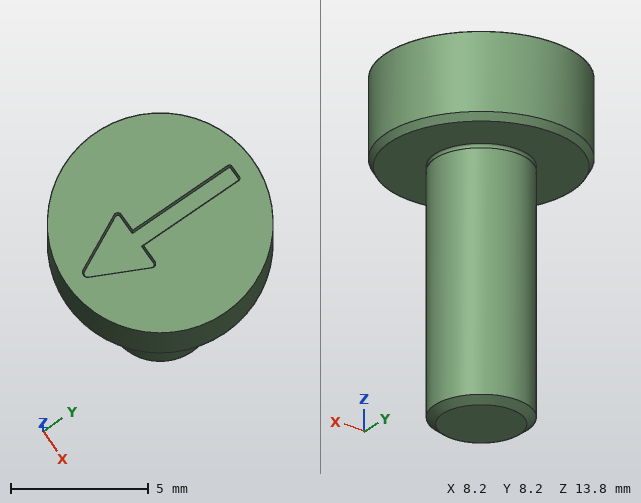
import cadquery as cq
import math

total_height = 13.8
head_diameter = 8.2
head_height = 3.5
shank_diameter = 4.0

head_chamfer_height = 0.3
head_chamfer_width = 0.18
end_chamfer_height = 0.26
end_chamfer_width = 0.35
groove_height = 0.18
groove_depth = 0.05

arrow_depth = 0.2
arrow_draft_angle = 15.0
arrow_tail_y = 3.34
arrow_shoulder_y = -0.98
arrow_shaft_width = 0.69
arrow_head_width = 2.62
arrow_side_angle = 63.8
arrow_shaft_overlap = 0.69
tail_radius = 0.11
shoulder_radius = 0.15
tip_radius = 0.2


def make_body():
    """Revolve the half section of head, undercut groove and shank."""
    head_radius = head_diameter / 2
    shank_radius = shank_diameter / 2
    underside_z = total_height - head_height
    groove_bottom = (shank_radius - groove_depth, underside_z - groove_height / 2)
    return (
        cq.Workplane("XZ")
        .lineTo(shank_radius - end_chamfer_width, 0)
        .lineTo(shank_radius, end_chamfer_height)
        .lineTo(shank_radius, underside_z - groove_height)
        .threePointArc(groove_bottom, (shank_radius, underside_z))
        .lineTo(head_radius - head_chamfer_width, underside_z)
        .lineTo(head_radius, underside_z + head_chamfer_height)
        .lineTo(head_radius, total_height)
        .lineTo(0, total_height)
        .close()
        .revolve(360, (0, 0, 0), (0, 1, 0))
    )


def sink(outline):
    """Extend an outline on the top face downwards, narrowing with depth."""
    top_face = cq.Workplane("XY").workplane(offset=total_height)
    return top_face.placeSketch(outline).extrude(-arrow_depth, taper=arrow_draft_angle)


def make_arrow_shaft():
    """Straight bar with rounded tail corners that runs on into the arrow head."""
    half_width = arrow_shaft_width / 2
    inner_end_y = arrow_shoulder_y - arrow_shaft_overlap
    corners = [
        (-half_width, inner_end_y),
        (half_width, inner_end_y),
        (half_width, arrow_tail_y),
        (-half_width, arrow_tail_y),
    ]
    outline = cq.Sketch().polygon(corners + corners[:1]).vertices(">Y").fillet(tail_radius)
    return sink(outline.reset())


def make_arrow_head():
    """Triangle with rounded shoulders and a rounded tip."""
    half_width = arrow_head_width / 2
    tip_y = arrow_shoulder_y - half_width * math.tan(math.radians(arrow_side_angle))
    corners = [
        (0, tip_y),
        (half_width, arrow_shoulder_y),
        (-half_width, arrow_shoulder_y),
    ]
    outline = cq.Sketch().polygon(corners + corners[:1])
    outline = outline.vertices(">Y").fillet(shoulder_radius)
    outline = outline.reset().vertices("<Y").fillet(tip_radius)
    return sink(outline.reset())


result = make_body().cut(make_arrow_shaft()).cut(make_arrow_head())